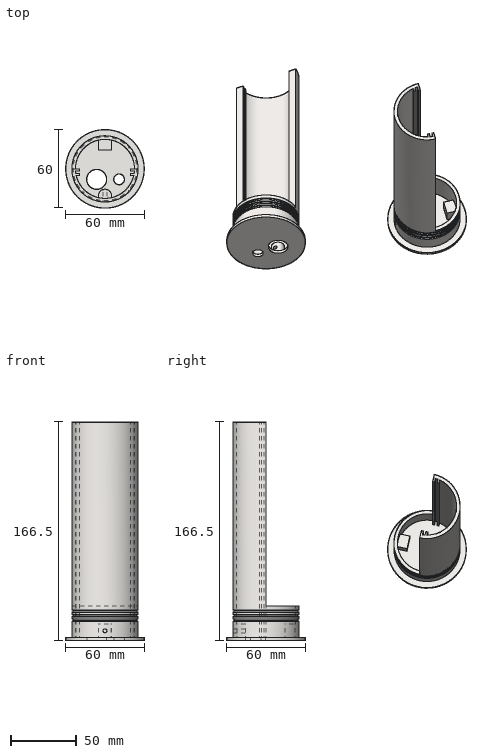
import cadquery as cq

flange_radius = 30.0
flange_thickness = 2.5

half_tube_height = 140.0
outer_radius = 25.25
wall_thickness = 2.75
inner_radius = outer_radius - wall_thickness
socket_height = 24.0
socket_top = flange_thickness + socket_height
total_height = socket_top + half_tube_height

groove_count = 3
groove_width = 2.0
groove_depth = 1.0
groove_root_height = 0.9
groove_lip_depth = 0.75
groove_pitch = 3.5
groove_start_height = 12.0
first_groove_bottom = flange_thickness + groove_start_height

rail_thickness = 1.5
slot_width = 2.0
rail_tip_x = 19.5

cable_hole_y = -8.0
large_hole_x = -6.35
large_hole_diameter = 15.0
small_hole_x = 10.75
small_hole_diameter = 8.0

boss_width = 10.0
boss_height = 10.0
round_boss_y = -20.5
square_boss_face_y = 14.5

screw_hole_diameter = 3.0
screw_hole_z = flange_thickness + boss_height / 2


def bore_cylinder():
    """Inner space of the tube above the floor."""
    depth = total_height - flange_thickness
    return cq.Workplane("XY").workplane(offset=flange_thickness).circle(inner_radius).extrude(depth)


def front_half():
    """Block covering everything on the -Y side of the tube axis."""
    return cq.Workplane("XY").box(
        2 * flange_radius, flange_radius, total_height, centered=(True, False, False)
    ).translate((0, -flange_radius, 0))


def base():
    """Flange with the full-round socket above it."""
    flange = cq.Workplane("XY").circle(flange_radius).extrude(flange_thickness)
    socket = cq.Workplane("XY").circle(outer_radius).extrude(socket_top)
    return flange.union(socket)


def half_tube():
    """Front half of the tube, solid until it is bored."""
    return cq.Workplane("XY").circle(outer_radius).extrude(total_height).intersect(front_half())


def guide_rails():
    """Rail pairs along both inner sides of the half tube, from the floor to the top."""
    rail_length = total_height - flange_thickness
    rail_width = outer_radius - rail_tip_x
    rails = cq.Workplane("XY")
    for side in (-1, 1):
        for rail_top_y in (0, -(rail_thickness + slot_width)):
            rail = cq.Workplane("XY").box(
                rail_width, rail_thickness, rail_length, centered=(True, True, False)
            )
            rail_x = side * (rail_tip_x + rail_width / 2)
            rail_y = rail_top_y - rail_thickness / 2
            rails = rails.add(rail.translate((rail_x, rail_y, flange_thickness)))
    return rails.combine().intersect(bore_cylinder())


def screw_bosses():
    """Round boss at the front and square boss at the back, trimmed to the bore."""
    floor = cq.Workplane("XY").workplane(offset=flange_thickness)
    round_boss = floor.center(0, round_boss_y).circle(boss_width / 2).extrude(boss_height)
    square_boss_depth = outer_radius - square_boss_face_y
    square_boss = (
        floor.center(0, square_boss_face_y + square_boss_depth / 2)
        .rect(boss_width, square_boss_depth)
        .extrude(boss_height)
    )
    return round_boss.union(square_boss).intersect(bore_cylinder())


def groove(bottom_z):
    """Ring-shaped cutter for one barbed groove."""
    section = [
        (outer_radius, bottom_z),
        (outer_radius - groove_depth, bottom_z + groove_root_height),
        (outer_radius - groove_lip_depth, bottom_z + groove_width),
        (outer_radius, bottom_z + groove_width),
    ]
    return cq.Workplane("XZ").polyline(section).close().revolve(360, (0, 0, 0), (0, 1, 0))


def floor_hole(x, diameter):
    """Cutter for one cable hole through the floor."""
    return cq.Workplane("XY").center(x, cable_hole_y).circle(diameter / 2).extrude(flange_thickness)


def screw_hole():
    """Radial cutter from the front face into the open interior."""
    return (
        cq.Workplane("XZ")
        .center(0, screw_hole_z)
        .circle(screw_hole_diameter / 2)
        .extrude(outer_radius)
    )


result = base().union(half_tube()).cut(bore_cylinder())
result = result.union(guide_rails()).union(screw_bosses())
for index in range(groove_count):
    result = result.cut(groove(first_groove_bottom + index * groove_pitch))
result = result.cut(floor_hole(large_hole_x, large_hole_diameter))
result = result.cut(floor_hole(small_hole_x, small_hole_diameter))
result = result.cut(screw_hole())